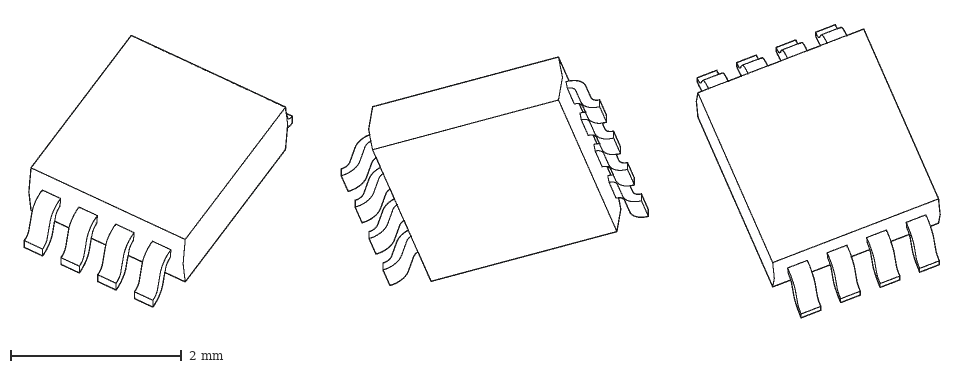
import cadquery as cq
import math

body_length = 2.1
body_width = 2.4
body_height = 0.8
standoff = 0.1
draft_angle = math.radians(7)

leads_per_side = 4
lead_pitch = 0.5
lead_width = 0.25
lead_thickness = 0.13
lead_span = 3.2
inner_radius = 0.11
bend_angle = math.radians(75)
root_embed = 0.1

parting_height = standoff + body_height / 2
lead_top = parting_height + lead_thickness
outer_radius = inner_radius + lead_thickness


def make_body():
    """Six-sided YZ section, tapering away from the parting line, extruded along X."""
    half_width = body_width / 2
    flat_half_width = half_width - body_height / 2 * math.tan(draft_angle)
    body_top = standoff + body_height
    return (
        cq.Workplane("YZ")
        .polyline([
            (-flat_half_width, standoff),
            (flat_half_width, standoff),
            (half_width, parting_height),
            (flat_half_width, body_top),
            (-flat_half_width, body_top),
            (-half_width, parting_height),
        ])
        .close()
        .extrude(body_length / 2, both=True)
    )


def on_arc(center, radius, angle):
    """Point on a circle in the YZ plane, angle measured from +Y."""
    return (center[0] + radius * math.cos(angle), center[1] + radius * math.sin(angle))


def make_lead(x_center):
    """S-shaped lead on the +Y side: buried root, shoulder bend, leg, foot bend ending at the toe."""
    toe = lead_span / 2
    root = body_width / 2 - root_embed

    bend_radii = inner_radius + outer_radius
    total_drop = lead_top - lead_thickness
    leg_drop = total_drop - bend_radii * (1 - math.cos(bend_angle))
    leg_run = leg_drop / math.tan(bend_angle)
    shoulder_y = toe - bend_radii * math.sin(bend_angle) - leg_run

    shoulder_center = (shoulder_y, lead_top - outer_radius)
    foot_center = (toe, outer_radius)

    up = math.pi / 2
    down = -math.pi / 2
    shoulder_end = up - bend_angle
    shoulder_mid = up - bend_angle / 2
    foot_start = down - bend_angle
    foot_mid = down - bend_angle / 2

    profile = (
        cq.Workplane("YZ", origin=(x_center, 0, 0))
        .moveTo(root, lead_top)
        .lineTo(shoulder_y, lead_top)
        .threePointArc(
            on_arc(shoulder_center, outer_radius, shoulder_mid),
            on_arc(shoulder_center, outer_radius, shoulder_end),
        )
        .lineTo(*on_arc(foot_center, inner_radius, foot_start))
        .threePointArc(
            on_arc(foot_center, inner_radius, foot_mid),
            on_arc(foot_center, inner_radius, down),
        )
        .lineTo(toe, 0)
        .threePointArc(
            on_arc(foot_center, outer_radius, foot_mid),
            on_arc(foot_center, outer_radius, foot_start),
        )
        .lineTo(*on_arc(shoulder_center, inner_radius, shoulder_end))
        .threePointArc(
            on_arc(shoulder_center, inner_radius, shoulder_mid),
            on_arc(shoulder_center, inner_radius, up),
        )
        .lineTo(root, lead_top - lead_thickness)
        .close()
    )
    return profile.extrude(lead_width / 2, both=True)


result = make_body()
for index in range(leads_per_side):
    lead_x = (index - (leads_per_side - 1) / 2) * lead_pitch
    lead = make_lead(lead_x)
    result = result.union(lead).union(lead.mirror("XZ"))